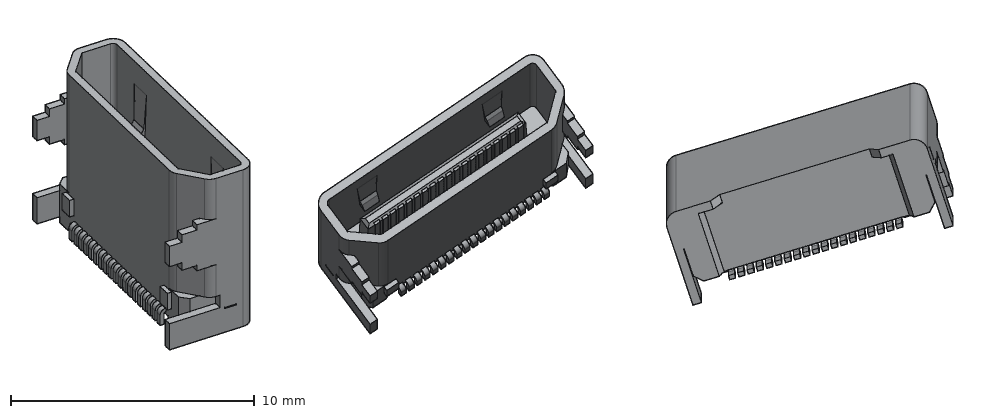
import cadquery as cq
import math


WIDTH = 11.2
DEPTH = 3.2
HEIGHT = 7.7
WALL = 0.37
BACK_Y = DEPTH / 2
FRONT_Y = -DEPTH / 2
HALF_WIDTH = WIDTH / 2
SIDE_LENGTH = 2.10
SLOPE_RUN = 1.28
OUTER_RADIUS = 0.57
INNER_RADIUS = OUTER_RADIUS - WALL
SKIRT_Z = 1.90
STRIP_FRONT_Y = BACK_Y - 1.65

OVERHANG_Y = BACK_Y - 4.05
FOOT_HEIGHT = 1.29
TAB_Z = 4.59
TAB_STEPS = (
    (BACK_Y - 2.75, 2.26),
    (BACK_Y - 3.46, 1.74),
    (OVERHANG_Y, 1.00),
)

SLIT_CENTRE_Y = BACK_Y - 1.16
SLIT_LENGTH = 0.55
SLIT_HEIGHT = 0.05
SLIT_Z = 1.17

HOUSING_CHAMFER = 0.34
FOOT_CLEARANCE = 0.03
HOUSING_NOTCH_HEIGHT = 0.48
HOUSING_NOTCH_BOTTOM = 8.38
HOUSING_NOTCH_TOP = 7.96
BACK_NOTCH_X = -0.07
BACK_NOTCH_BOTTOM = 7.24
BACK_NOTCH_TOP = 6.44
PAD_WIDTH = 0.60
PAD_X = 4.0
PAD_BOTTOM_Z = 1.00
PAD_TOP_Z = 1.82
PAD_DEPTH = 0.20

CONTACT_COUNT = 19
CONTACT_PITCH = 0.40
CONTACT_WIDTH = 0.26
FIRST_CONTACT_X = -3.50
PIN_THICKNESS = 0.19
PIN_OUTER_RADIUS = 0.27
PIN_INNER_RADIUS = PIN_OUTER_RADIUS - PIN_THICKNESS
PIN_TOP_Z = 0.77
PIN_ROOT = 0.20

TONGUE_ROOT_WIDTH = 8.09
TONGUE_BEVEL_WIDTH = 7.92
TONGUE_TIP_WIDTH = 7.62
TONGUE_BACK_Y = BACK_Y - 1.035
TONGUE_FRONT_Y = BACK_Y - 1.60
TONGUE_TOP_Z = 5.0
TONGUE_CHAMFER_Y = 0.15
TONGUE_CHAMFER_HEIGHT = 0.15
CONTACT_FRONT_Y = BACK_Y - 1.64
CONTACT_BACK_Y = BACK_Y - 1.51
CONTACT_TOP_Z = TONGUE_TOP_Z - TONGUE_CHAMFER_HEIGHT / 2

SPRING_X = 3.14
SPRING_TOP_WIDTH = 1.00
SPRING_BOTTOM_WIDTH = 0.74
SPRING_TOP_Z = 6.58
SPRING_BOTTOM_Z = 4.20
SPRING_BENDS = (
    (0.07, 4.90),
    (0.20, 4.68),
    (0.35, SPRING_BOTTOM_Z),
)
BUMP_X = 2.01
BUMP_BASE_WIDTH = 0.66
BUMP_TIP_WIDTH = 0.54
BUMP_REACH = 0.19
BUMP_BOTTOM_Z = 3.0
BUMP_TOP_Z = 4.5

INNER_BACK_Y = BACK_Y - WALL
INNER_FRONT_Y = FRONT_Y + WALL


def box(x0, x1, y0, y1, z0, z1):
    """Box between opposite corners."""
    return cq.Workplane("XY").box(x1 - x0, y1 - y0, z1 - z0, centered=False).translate((x0, y0, z0))


def mirrored(body):
    """The body together with its mirror image across X = 0."""
    return body.union(body.mirror("YZ"))


def shell_prism(inset):
    """Sharp-cornered D-shaped prism of the shell, moved inwards by inset."""
    slope_y = BACK_Y - SIDE_LENGTH
    slope_angle = math.atan2(slope_y - FRONT_Y, SLOPE_RUN)
    side_shift = inset * math.tan((math.pi / 2 - slope_angle) / 2)
    front_shift = inset * math.tan(slope_angle / 2)
    side_x = HALF_WIDTH - inset
    corner_y = slope_y + side_shift
    front_x = HALF_WIDTH - SLOPE_RUN - front_shift
    points = [
        (-side_x, BACK_Y - inset),
        (side_x, BACK_Y - inset),
        (side_x, corner_y),
        (front_x, FRONT_Y + inset),
        (-front_x, FRONT_Y + inset),
        (-side_x, corner_y),
    ]
    return cq.Workplane("XY").polyline(points).close().extrude(HEIGHT)


def notch(centre_x, bottom_width, top_width, y0, y1):
    """Trapezoidal notch rising from Z = 0."""
    points = [
        (centre_x - bottom_width / 2, 0),
        (centre_x + bottom_width / 2, 0),
        (centre_x + top_width / 2, HOUSING_NOTCH_HEIGHT),
        (centre_x - top_width / 2, HOUSING_NOTCH_HEIGHT),
    ]
    return cq.Workplane("XZ", origin=(0, y1, 0)).polyline(points).close().extrude(y1 - y0)


def make_shell():
    """Open shell, with the skirt cut away in front, a notch in the back and a slit in each side."""
    outer = shell_prism(0).edges("|Z").fillet(OUTER_RADIUS)
    cavity = shell_prism(WALL).edges("|Z and >Y").fillet(INNER_RADIUS)
    shell = outer.cut(cavity)
    shell = shell.cut(box(-HALF_WIDTH, HALF_WIDTH, FRONT_Y, STRIP_FRONT_Y, 0, SKIRT_Z))
    shell = shell.cut(notch(BACK_NOTCH_X, BACK_NOTCH_BOTTOM, BACK_NOTCH_TOP, INNER_BACK_Y, BACK_Y))
    slit_y = SLIT_CENTRE_Y - SLIT_LENGTH / 2
    slit = box(-HALF_WIDTH, WALL - HALF_WIDTH, slit_y, slit_y + SLIT_LENGTH, SLIT_Z, SLIT_Z + SLIT_HEIGHT)
    return shell.cut(mirrored(slit))


def make_side_plates():
    """Soldering foot and stepped mounting tab on each side."""
    x0 = -HALF_WIDTH
    x1 = WALL - HALF_WIDTH
    plates = box(x0, x1, OVERHANG_Y, STRIP_FRONT_Y, 0, FOOT_HEIGHT)
    for step_y, step_height in TAB_STEPS:
        z0 = TAB_Z - step_height / 2
        plates = plates.union(box(x0, x1, step_y, STRIP_FRONT_Y, z0, z0 + step_height))
    return mirrored(plates)


def make_housing():
    """Block that closes the lower end of the shell, with two pads on its front."""
    side_x = HALF_WIDTH - WALL
    housing = box(-side_x, side_x, FRONT_Y, INNER_BACK_Y, 0, SKIRT_Z)
    housing = housing.edges("|Z and >Y").fillet(INNER_RADIUS)
    gap = box(-side_x, FOOT_CLEARANCE - side_x, FRONT_Y, STRIP_FRONT_Y, 0, SKIRT_Z)
    housing = housing.cut(mirrored(gap))
    housing = housing.edges("|Z and <Y").chamfer(HOUSING_CHAMFER)
    housing = housing.cut(notch(0, HOUSING_NOTCH_BOTTOM, HOUSING_NOTCH_TOP, FRONT_Y, INNER_BACK_Y))
    pad_x = PAD_X - PAD_WIDTH / 2
    pad = box(pad_x, pad_x + PAD_WIDTH, FRONT_Y - PAD_DEPTH, FRONT_Y, PAD_BOTTOM_Z, PAD_TOP_Z)
    return housing.union(mirrored(pad))


def make_tongue():
    """Tongue rising from the housing, with tapered ends and a bevel all round its tip."""
    bevel_z = TONGUE_TOP_Z - TONGUE_CHAMFER_HEIGHT
    depth = TONGUE_BACK_Y - TONGUE_FRONT_Y
    centre_y = (TONGUE_BACK_Y + TONGUE_FRONT_Y) / 2
    return (
        cq.Workplane("XY", origin=(0, centre_y, SKIRT_Z))
        .rect(TONGUE_ROOT_WIDTH, depth)
        .workplane(offset=bevel_z - SKIRT_Z)
        .rect(TONGUE_BEVEL_WIDTH, depth)
        .workplane(offset=TONGUE_CHAMFER_HEIGHT)
        .rect(TONGUE_TIP_WIDTH, depth - 2 * TONGUE_CHAMFER_Y)
        .loft(ruled=True)
    )


def make_pin(x):
    """Pin leaving the front of the housing and bending down to Z = 0."""
    bend_z = PIN_TOP_Z - PIN_OUTER_RADIUS
    leg_front_y = FRONT_Y - PIN_OUTER_RADIUS
    leg_back_y = FRONT_Y - PIN_INNER_RADIUS
    diagonal = math.sqrt(0.5)
    return (
        cq.Workplane("YZ", origin=(x - CONTACT_WIDTH / 2, 0, 0))
        .moveTo(leg_front_y, 0)
        .lineTo(leg_front_y, bend_z)
        .threePointArc(
            (FRONT_Y - PIN_OUTER_RADIUS * diagonal, bend_z + PIN_OUTER_RADIUS * diagonal),
            (FRONT_Y, PIN_TOP_Z),
        )
        .lineTo(FRONT_Y + PIN_ROOT, PIN_TOP_Z)
        .lineTo(FRONT_Y + PIN_ROOT, PIN_TOP_Z - PIN_THICKNESS)
        .lineTo(FRONT_Y, PIN_TOP_Z - PIN_THICKNESS)
        .threePointArc(
            (FRONT_Y - PIN_INNER_RADIUS * diagonal, bend_z + PIN_INNER_RADIUS * diagonal),
            (leg_back_y, bend_z),
        )
        .lineTo(leg_back_y, 0)
        .close()
        .extrude(CONTACT_WIDTH)
    )


def make_contact_strip(x):
    """Contact strip lying on the front face of the tongue."""
    x0 = x - CONTACT_WIDTH / 2
    return box(x0, x0 + CONTACT_WIDTH, CONTACT_FRONT_Y, CONTACT_BACK_Y, SKIRT_Z, CONTACT_TOP_Z)


def make_springs():
    """Pair of spring leaves bulging from the back wall and narrowing downwards."""
    bends = [(INNER_BACK_Y - reach, z) for reach, z in SPRING_BENDS]
    profile = [(INNER_BACK_Y, SPRING_TOP_Z), *bends, (INNER_BACK_Y, SPRING_BOTTOM_Z)]
    bulge = (
        cq.Workplane("YZ", origin=(SPRING_X - SPRING_TOP_WIDTH / 2, 0, 0))
        .polyline(profile)
        .close()
        .extrude(SPRING_TOP_WIDTH)
    )
    outline = [
        (SPRING_X - SPRING_TOP_WIDTH / 2, SPRING_TOP_Z),
        (SPRING_X + SPRING_TOP_WIDTH / 2, SPRING_TOP_Z),
        (SPRING_X + SPRING_BOTTOM_WIDTH / 2, SPRING_BOTTOM_Z),
        (SPRING_X - SPRING_BOTTOM_WIDTH / 2, SPRING_BOTTOM_Z),
    ]
    trim = cq.Workplane("XZ", origin=(0, BACK_Y, 0)).polyline(outline).close().extrude(DEPTH)
    return mirrored(bulge.intersect(trim))


def make_bumps():
    """Pair of trapezoidal bumps standing on the inside of the front wall."""
    points = [
        (BUMP_X - BUMP_BASE_WIDTH / 2, INNER_FRONT_Y),
        (BUMP_X + BUMP_BASE_WIDTH / 2, INNER_FRONT_Y),
        (BUMP_X + BUMP_TIP_WIDTH / 2, INNER_FRONT_Y + BUMP_REACH),
        (BUMP_X - BUMP_TIP_WIDTH / 2, INNER_FRONT_Y + BUMP_REACH),
    ]
    bump = cq.Workplane("XY", origin=(0, 0, BUMP_BOTTOM_Z)).polyline(points).close()
    return mirrored(bump.extrude(BUMP_TOP_Z - BUMP_BOTTOM_Z))


result = make_shell().union(make_side_plates()).union(make_housing()).union(make_tongue())
for index in range(CONTACT_COUNT):
    contact_x = FIRST_CONTACT_X + index * CONTACT_PITCH
    result = result.union(make_pin(contact_x)).union(make_contact_strip(contact_x))
result = result.union(make_springs()).union(make_bumps())
result = result.clean()